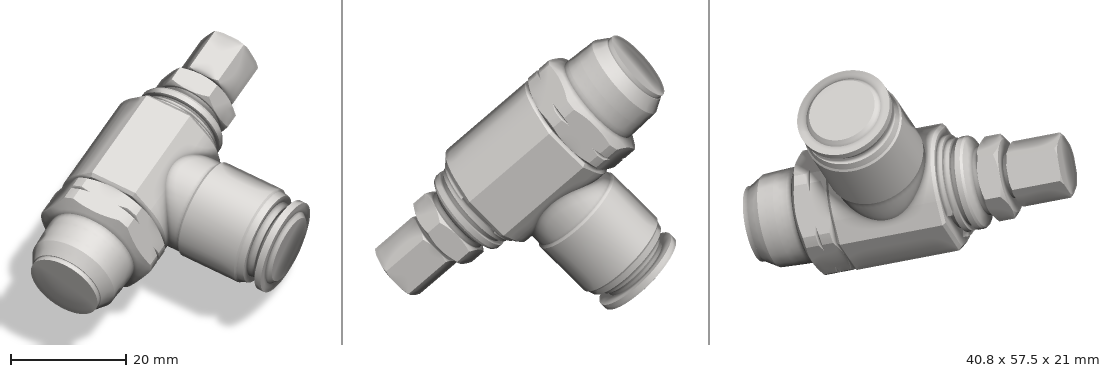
import cadquery as cq
import math


body_radius = 10.5
body_half_length = 10.0
body_chamfer = 0.55

snap_ring_top = 11.0
groove_bottom = 12.05
groove_top = 13.05
shoulder_edge = 14.05
shoulder_start = 14.5
neck_bottom = 15.55
lock_nut_bottom = 16.5
lock_nut_top = 20.5
knob_bottom = 21.5
knob_top = 30.95

nut_corner_top = -10.65
nut_mark_y = -12.95
nut_corner_bottom = -15.6
nut_bottom = -17.0
thread_top = -17.95
thread_middle = -20.4
thread_bottom = -23.35
tip_cone_end = -25.65
tip_end = -26.55

snap_ring_radius = 9.0
snap_ring_gap_left = -4.8
snap_ring_gap_right = 3.5
collar_radius = 8.25
groove_radius = 7.35
shoulder_radius = 8.0
neck_radius = 6.1
stem_radius = 4.0
thread_radius = 8.5
thread_middle_radius = 8.4
thread_end_radius = 8.25
tip_cone_radius = 6.9
tip_radius = 6.7

lock_nut_flats = 13.0
knob_flats = 10.0
knob_face_radius = 5.2
hex_chamfer_angle = 30.0
nut_flats = 20.0
nut_corner_radius = 11.0
nut_mark_depth = 0.62
nut_mark_half_width = 0.3

branch_tube_radius = 8.55
branch_step_x = 12.3
sleeve_radius = 8.95
sleeve_start = 12.75
sleeve_end = 23.9
sleeve_edge_radius = 8.65
sleeve_edge_x = 24.25
sleeve_tip_radius = 8.3
sleeve_tip_x = 25.45
inner_sleeve_radius = 7.1
inner_sleeve_end_radius = 6.85
inner_sleeve_end = 26.7
release_neck_radius = 6.05
flare_x = 27.3
flare_radius = 6.3
release_flange_radius = 8.55
release_flange_start = 27.8
release_flange_end = 29.05
release_tip_base_radius = 6.85
release_end = 29.84


def turned_on_y(outline):
    """Solid of revolution about Y from (radius, y) points running along the part."""
    closed = [(0, outline[0][1])] + outline + [(0, outline[-1][1])]
    return cq.Workplane("XY").polyline(closed).close().revolve(360, (0, 0, 0), (0, 1, 0))


def turned_on_x(outline):
    """Solid of revolution about X from (x, radius) points running along the part."""
    closed = [(outline[0][0], 0)] + outline + [(outline[-1][0], 0)]
    return cq.Workplane("XY").polyline(closed).close().revolve(360, (0, 0, 0), (1, 0, 0))


def hexagon_on_y(across_flats, y_start, y_end):
    """Hexagonal prism along Y with flats facing +Z and -Z."""
    corner_diameter = 2 * across_flats / math.sqrt(3)
    return (
        cq.Workplane("XZ", origin=(0, y_start, 0))
        .polygon(6, corner_diameter)
        .extrude(y_start - y_end)
    )


def chamfered_hex(across_flats, y_start, y_end, face_radius):
    """Hexagon whose corners are turned down by a cone at both ends."""
    corner_radius = across_flats / math.sqrt(3)
    slope = math.tan(math.radians(hex_chamfer_angle))
    drop = (corner_radius - face_radius) * slope
    envelope = turned_on_y([
        (face_radius, y_start),
        (corner_radius, y_start + drop),
        (corner_radius, y_end - drop),
        (face_radius, y_end),
    ])
    return hexagon_on_y(across_flats, y_start, y_end).intersect(envelope)


def valve_body():
    """Block with flats at +Z and -Z, 45 degree flats beside them and tangent round sides."""
    flat_half_width = body_radius * math.tan(math.pi / 8)
    tangent_point = body_radius / math.sqrt(2)
    block = (
        cq.Workplane("XZ")
        .moveTo(-flat_half_width, body_radius)
        .lineTo(flat_half_width, body_radius)
        .lineTo(tangent_point, tangent_point)
        .threePointArc((body_radius, 0), (tangent_point, -tangent_point))
        .lineTo(flat_half_width, -body_radius)
        .lineTo(-flat_half_width, -body_radius)
        .lineTo(-tangent_point, -tangent_point)
        .threePointArc((-body_radius, 0), (-tangent_point, tangent_point))
        .close()
        .extrude(body_half_length, both=True)
    )
    return block.faces("<Y or >Y").chamfer(body_chamfer)


def upper_neck():
    return turned_on_y([
        (groove_radius, 0),
        (groove_radius, snap_ring_top),
        (collar_radius, snap_ring_top),
        (collar_radius, groove_bottom),
        (groove_radius, groove_bottom),
        (groove_radius, groove_top),
        (collar_radius, groove_top),
        (collar_radius, shoulder_edge),
        (shoulder_radius, shoulder_start),
        (neck_radius, neck_bottom),
        (neck_radius, lock_nut_bottom),
        (stem_radius, lock_nut_bottom),
        (stem_radius, knob_bottom),
    ])


def snap_ring():
    """Retaining ring on top of the body, open towards -Z."""
    ring = turned_on_y([(snap_ring_radius, body_half_length), (snap_ring_radius, snap_ring_top)])
    gap = (
        cq.Workplane("XZ")
        .moveTo(snap_ring_gap_left, 0)
        .lineTo(snap_ring_gap_right, 0)
        .lineTo(snap_ring_gap_right, -snap_ring_radius)
        .lineTo(snap_ring_gap_left, -snap_ring_radius)
        .close()
        .extrude(-snap_ring_top)
    )
    return ring.cut(gap)


def lock_nut():
    return chamfered_hex(lock_nut_flats, lock_nut_bottom, lock_nut_top, lock_nut_flats / 2)


def knob():
    return chamfered_hex(knob_flats, knob_bottom, knob_top, knob_face_radius)


def body_nut():
    mark_radius = nut_corner_radius - nut_mark_depth
    envelope = turned_on_y([
        (thread_radius, nut_bottom),
        (nut_corner_radius, nut_corner_bottom),
        (nut_corner_radius, nut_mark_y - nut_mark_half_width),
        (mark_radius, nut_mark_y),
        (nut_corner_radius, nut_mark_y + nut_mark_half_width),
        (nut_corner_radius, nut_corner_top),
        (nut_flats / 2, -body_half_length),
    ])
    return hexagon_on_y(nut_flats, nut_bottom, -body_half_length).intersect(envelope)


def thread_end():
    return turned_on_y([
        (tip_radius, tip_end),
        (tip_radius, tip_cone_end),
        (tip_cone_radius, tip_cone_end),
        (thread_end_radius, thread_bottom),
        (thread_middle_radius, thread_middle),
        (thread_radius, thread_top),
        (thread_radius, 0),
    ])


def hose_branch():
    return turned_on_x([
        (0, branch_tube_radius),
        (branch_step_x, branch_tube_radius),
        (sleeve_start, sleeve_radius),
        (sleeve_end, sleeve_radius),
        (sleeve_edge_x, sleeve_edge_radius),
        (sleeve_tip_x, sleeve_tip_radius),
        (sleeve_tip_x, inner_sleeve_radius),
        (inner_sleeve_end, inner_sleeve_end_radius),
        (inner_sleeve_end, release_neck_radius),
        (flare_x, release_neck_radius),
        (release_flange_start, flare_radius),
        (release_flange_start, release_flange_radius),
        (release_flange_end, release_flange_radius),
        (release_flange_end, release_tip_base_radius),
        (release_end, release_neck_radius),
    ])


result = valve_body()
for piece in (hose_branch(), upper_neck(), snap_ring(), lock_nut(), knob(), body_nut(), thread_end()):
    result = result.union(piece)